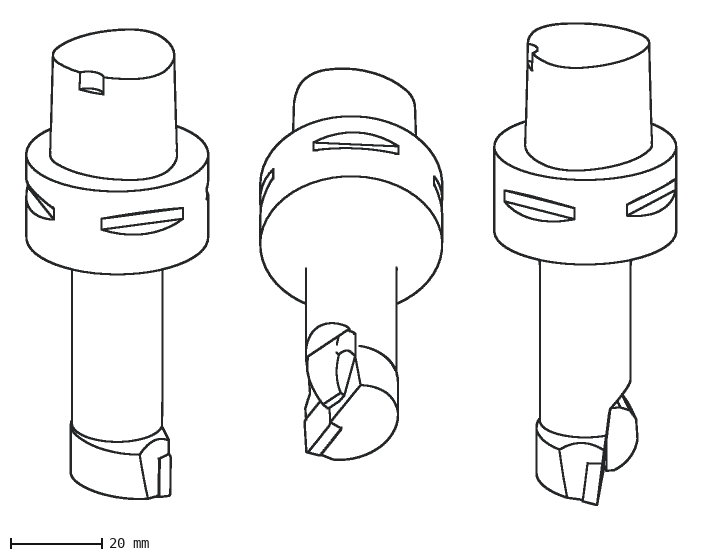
import cadquery as cq
import math

taper_height = 24.0
taper_ratio = 1 / 40
lobe_center = 6.0
lobe_radius = 8.7
lobe_angles = (90, 210, 330)
key_radius = 3.4
key_inner_y = -10.7
key_depth = 4.1

flange_diameter = 40.0
flange_height = 20.0
bar_diameter = 20.0
neck_radius = 7.0
neck_end_z = -28.1
cone_angle = 15

groove_count = 4
groove_z = -8.0
groove_floor = 17.7
groove_floor_width = 2.6
groove_flank_angle = 30

head_radius = 11.4
head_x = 1.1
head_y = 0.5
head_seam_front = (0.5, -10.9)
head_seam_left = (-6.7, -7.9)
head_seam_middle = (-9.3, -4.4)
head_seam_side = (-10.3, -0.2)
head_side_bulge = (-9.4, 3.8)
head_seam_back = (-7.1, 7.0)
main_start = 0
main_front = -45
main_left = -112
main_back = 75
head_top_z = -64.8
shoulder_slope = 1.35
shoulder_width = 3.6
head_bottom_z = -78.0
end_normal = (-0.1, -0.1, -1)
relief_point = (9.4, -7.4, -67.6)
relief_normal = (1, -0.25, 0.08)

tip = (13.0, 0.2, -80.1)
rake_normal = (0.26, 1, -0.12)
rake_x_direction = (1, -0.26, 0)
insert_edge = 9.7
insert_corner = 80
insert_thickness = 3.2
insert_clearance = 7
insert_nose_radius = 0.8
edge_tilt = (90 - insert_corner) / 2
pocket_length = 20.3
pocket_end_radius = 3.1
pocket_ramp_angle = 40

boss_x_min = -7.3
boss_x_max = 3.1
boss_top = (9.4, -61.8)
boss_shoulder = (10.8, -64.0)
boss_crest = (11.1, -68.6)
boss_bulge = (9.6, -72.7)
boss_foot = (5.8, -75.7)
boss_root_y = 4.2
boss_root_top = (7.3, -60.9)
boss_corner_radius = 2.6
boss_bevel_z = -68.3
boss_bevel_depth = 5.2

clear_size = 83.2
rake_plane = cq.Plane(origin=tip, xDir=rake_x_direction, normal=rake_normal)


def polar(radius, degrees):
    angle = math.radians(degrees)
    return radius * math.cos(angle), radius * math.sin(angle)


def polygon_profile(arc_radius, z):
    """Rounded triangle of constant width, made from six tangent arcs."""
    flat_radius = lobe_center * math.sqrt(3) + arc_radius

    def arc_point(center_angle, radius, direction):
        center = polar(lobe_center, center_angle)
        offset = polar(radius, direction)
        return center[0] + offset[0], center[1] + offset[1]

    start = arc_point(lobe_angles[0], arc_radius, lobe_angles[0] - 30)
    profile = cq.Workplane("XY").workplane(offset=z).moveTo(*start)
    for lobe in lobe_angles:
        profile = profile.threePointArc(
            arc_point(lobe, arc_radius, lobe),
            arc_point(lobe, arc_radius, lobe + 30),
        )
        profile = profile.threePointArc(
            arc_point(lobe - 120, flat_radius, lobe + 60),
            arc_point(lobe + 120, arc_radius, lobe + 90),
        )
    return profile.close().wires().val()


def make_taper():
    top_radius = lobe_radius - taper_height * taper_ratio
    wires = [polygon_profile(lobe_radius, 0), polygon_profile(top_radius, taper_height)]
    taper = cq.Workplane(cq.Solid.makeLoft(wires, True))
    key_slot = (
        cq.Workplane("XY").workplane(offset=taper_height - key_depth)
        .center(0, key_inner_y - key_radius).circle(key_radius).extrude(key_depth)
    )
    return taper.cut(key_slot)


def make_flange_and_bar():
    flange_radius = flange_diameter / 2
    bar_radius = bar_diameter / 2
    arc_center_x = bar_radius + neck_radius

    def neck_point(angle):
        x, z = polar(neck_radius, angle)
        return arc_center_x + x, neck_end_z + z

    neck_top_angle = 90 + cone_angle
    return (
        cq.Workplane("XZ").lineTo(flange_radius, 0)
        .lineTo(flange_radius, -flange_height)
        .lineTo(*neck_point(neck_top_angle))
        .threePointArc(neck_point((neck_top_angle + 180) / 2), neck_point(180))
        .lineTo(bar_radius, head_bottom_z).lineTo(0, head_bottom_z).close()
        .revolve(360, (0, 0, 0), (0, 1, 0))
    )


def make_groove():
    """Straight groove across the +X side of the flange, with flared flanks."""
    depth = flange_diameter / 2 - groove_floor
    half_floor = groove_floor_width / 2
    half_mouth = half_floor + depth * math.tan(math.radians(groove_flank_angle))
    outer = groove_floor + depth
    return (
        cq.Workplane("XZ")
        .moveTo(groove_floor, groove_z - half_floor).lineTo(outer, groove_z - half_mouth)
        .lineTo(outer, groove_z + half_mouth).lineTo(groove_floor, groove_z + half_floor)
        .close().extrude(flange_diameter / 2, both=True)
    )


def half_space(origin, normal):
    """Block filling the side of a plane that its normal points to."""
    return (
        cq.Workplane(cq.Plane(origin=origin, normal=normal))
        .rect(2 * clear_size, 2 * clear_size).extrude(clear_size)
    )


def make_head():
    def on_main_circle(angle):
        x, y = polar(head_radius, angle)
        return head_x + x, head_y + y

    bar_radius = bar_diameter / 2
    shoulder_z = head_top_z - shoulder_slope * shoulder_width
    cylinder = (
        cq.Workplane("XY").workplane(offset=head_top_z)
        .moveTo(*on_main_circle(main_start))
        .threePointArc(on_main_circle(main_front), head_seam_front)
        .threePointArc(on_main_circle(main_left), head_seam_left)
        .threePointArc(head_seam_middle, head_seam_side)
        .threePointArc(head_side_bulge, head_seam_back)
        .threePointArc(on_main_circle(main_back), on_main_circle(main_start))
        .close().extrude(tip[2] - head_top_z)
    )
    shoulder = (
        cq.Workplane("XZ").moveTo(0, head_top_z).lineTo(bar_radius, head_top_z)
        .lineTo(bar_radius + shoulder_width, shoulder_z)
        .lineTo(bar_radius + shoulder_width, tip[2]).lineTo(0, tip[2]).close()
        .revolve(360, (0, 0, 0), (0, 1, 0))
    )
    return cylinder.intersect(shoulder).cut(half_space(relief_point, relief_normal))


def make_chip_pocket():
    """Everything in front of the rake plane, running out along a rounded ramp."""
    side_plane = cq.Plane(origin=tip, xDir=rake_plane.zDir, normal=rake_plane.xDir)

    def runout_point(angle):
        x, y = polar(pocket_end_radius, angle)
        return pocket_end_radius + x, pocket_length + y

    ramp_start = runout_point(180 - pocket_ramp_angle)
    ramp_length = clear_size / 2
    ramp_run, ramp_rise = polar(ramp_length, 90 - pocket_ramp_angle)
    ramp_end = (ramp_start[0] + ramp_run, ramp_start[1] + ramp_rise)
    return (
        cq.Workplane(side_plane).moveTo(0, -ramp_length)
        .lineTo(*runout_point(180))
        .threePointArc(runout_point(180 - pocket_ramp_angle / 2), ramp_start)
        .lineTo(*ramp_end).lineTo(ramp_end[0], -ramp_length)
        .close().extrude(clear_size, both=True)
    )


def make_boss():
    boss = (
        cq.Workplane("YZ").workplane(offset=boss_x_min)
        .moveTo(boss_root_y, boss_root_top[1]).lineTo(*boss_root_top).lineTo(*boss_top)
        .lineTo(*boss_shoulder).lineTo(*boss_crest)
        .threePointArc(boss_bulge, boss_foot).lineTo(boss_root_y, boss_foot[1])
        .close().extrude(boss_x_max - boss_x_min)
    )
    side_outline = (
        cq.Workplane("XZ").moveTo(boss_x_min, boss_bevel_z)
        .lineTo(boss_x_min + boss_bevel_depth, boss_foot[1])
        .lineTo(boss_x_max, boss_foot[1]).lineTo(boss_x_max, boss_root_top[1])
        .lineTo(boss_x_min, boss_root_top[1]).close()
        .extrude(-clear_size)
    )
    rounded_plan = (
        cq.Workplane("XY").workplane(offset=boss_foot[1])
        .moveTo(boss_x_min, boss_root_y).lineTo(boss_x_max, boss_root_y)
        .lineTo(boss_x_max, boss_crest[0]).lineTo(boss_x_min, boss_crest[0])
        .close().extrude(boss_root_top[1] - boss_foot[1])
        .edges("|Z").edges("<X").edges(">Y").fillet(boss_corner_radius)
    )
    return boss.intersect(rounded_plan).intersect(side_outline)


def make_insert():
    """Rhombic insert with clearance flanks, its sharp corner at the tip."""
    side = polar(insert_edge, 270 - edge_tilt)
    end = polar(insert_edge, 180 + edge_tilt)
    far = (side[0] + end[0], side[1] + end[1])
    rake_outline = cq.Sketch().polygon([(0, 0), side, far, end, (0, 0)])
    rake_outline = rake_outline.vertices().fillet(insert_nose_radius)
    return (
        cq.Workplane(rake_plane).placeSketch(rake_outline)
        .extrude(-insert_thickness, taper=insert_clearance)
    )


def make_holder(insert_body):
    body = make_flange_and_bar().union(make_taper())
    groove = make_groove()
    for index in range(groove_count):
        angle = 360 / groove_count * (index + 0.5)
        body = body.cut(groove.rotate((0, 0, 0), (0, 0, 1), angle))
    body = body.union(make_head())
    body = body.cut(half_space((0, 0, head_bottom_z), end_normal))
    body = body.cut(make_chip_pocket())
    return body.union(make_boss().cut(insert_body)).cut(insert_body)


insert = make_insert()
holder = make_holder(insert)

result = cq.Compound.makeCompound([holder.val(), insert.val()])